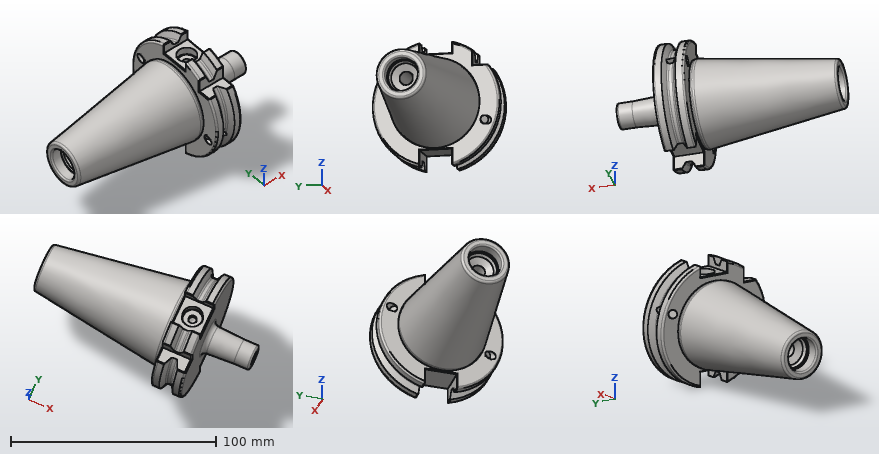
import cadquery as cq
import math


gauge_radius = 44.45 / 2
taper_slope = 7 / 48
taper_length = 68.4
taper_tail = 0.8
small_end_fillet = 1.25
collar_end_x = 1.85
neck_x = 2.5
neck_radius = 22.25
neck_root_radius = 22.0

flange_start_x = 3.2
flange_end_x = 19.1
flange_radius = 63.55 / 2
flange_fillet = 1.0

groove_x = 11.1
groove_width = 7.1
groove_floor_radius = 56.25 / 2
groove_half_angle = 30
groove_fillet = 1.0

nose_end_x = 44.0
nose_straight_x = 36.0
nose_tip_radius = 6.5
nose_base_radius = 7.4
nose_base_fillet = 2.8
nose_tip_fillet = 1.0

slot_width = 16.1
top_slot_floor = 25.0
bottom_slot_floor = 22.8
notch_offset = 18.5
slot_rim_chamfer = 0.45
notch_rim_chamfer = 0.25
taper_face_chamfer = 0.45
nose_face_chamfer = 0.7
cutter_reach = 40.0

counterbore_radius = 8.4
counterbore_depth = 6.0
bore_mouth_fillet = 0.85
shoulder_radius = 8.0
shoulder_depth = 7.3
bore_bottom_radius = 7.0
bore_bottom_depth = 9.1
drill_tip_angle = 118
through_radius = 3.35

pocket_radius = 5.15
pocket_depth = 4.6
pocket_floor_chamfer = 0.3
pilot_radius = 2.0
pilot_depth = 3.0

groove_hole_depth = 4.4
face_hole_depth = 1.8
coolant_radius = 2.1
coolant_tilt = 20
coolant_entry_radius = 26.8
coolant_slant = 40


def taper_radius(x):
    return gauge_radius + taper_slope * x


def drill_tip_length(radius_drop):
    return radius_drop / math.tan(math.radians(drill_tip_angle / 2))


def revolve_about_x(points):
    """Solid of revolution from an (x, radius) outline that starts and ends on the axis."""
    return cq.Workplane("XY").polyline(points).close().revolve(360, (0, 0, 0), (1, 0, 0))


def rim_fillet(body, x, radius, fillet):
    """Round the circular edge of the given radius that is centred on the axis at x."""

    def is_rim(edge):
        center = edge.Center()
        on_axis = math.hypot(center.y, center.z) < 0.01 and abs(center.x - x) < 0.01
        return edge.geomType() == "CIRCLE" and on_axis and abs(edge.radius() - radius) < 0.01

    rims = [edge for edge in body.edges().vals() if is_rim(edge)]
    return body.newObject(rims).fillet(fillet)


def make_body():
    groove_depth = flange_radius - groove_floor_radius
    mouth = groove_width / 2
    floor = mouth - groove_depth * math.tan(math.radians(groove_half_angle))
    body = revolve_about_x([
        (-taper_length, 0),
        (-taper_length, taper_radius(-taper_length)),
        (taper_tail, taper_radius(taper_tail)),
        (collar_end_x, taper_radius(taper_tail)),
        (neck_x, neck_radius),
        (flange_start_x, neck_root_radius),
        (flange_start_x, flange_radius),
        (groove_x - mouth, flange_radius),
        (groove_x - floor, groove_floor_radius),
        (groove_x + floor, groove_floor_radius),
        (groove_x + mouth, flange_radius),
        (flange_end_x, flange_radius),
        (flange_end_x, nose_base_radius),
        (nose_straight_x, nose_tip_radius),
        (nose_end_x, nose_tip_radius),
        (nose_end_x, 0),
    ])
    body = rim_fillet(body, -taper_length, taper_radius(-taper_length), small_end_fillet)
    for x in (flange_start_x, flange_end_x):
        body = rim_fillet(body, x, flange_radius, flange_fillet)
    for x in (groove_x - floor, groove_x + floor):
        body = rim_fillet(body, x, groove_floor_radius, groove_fillet)
    body = rim_fillet(body, flange_end_x, nose_base_radius, nose_base_fillet)
    return rim_fillet(body, nose_end_x, nose_tip_radius, nose_tip_fillet)


def chamfered_cutter(y_min, y_max, z_min):
    """Rectangular cut along X through the flange, open upward, with chamfers on both flange faces."""
    y_size = y_max - y_min
    y_mid = (y_min + y_max) / 2
    z_size = cutter_reach - z_min
    z_mid = (cutter_reach + z_min) / 2
    flange_width = flange_end_x - flange_start_x
    cutter = (
        cq.Workplane("YZ", origin=(flange_start_x, y_mid, z_mid))
        .rect(y_size, z_size)
        .extrude(flange_width)
    )
    for x, inward_step in ((flange_start_x, taper_face_chamfer), (flange_end_x, -nose_face_chamfer)):
        flare_growth = 2 * abs(inward_step)
        flare = (
            cq.Workplane("YZ", origin=(x, y_mid, z_mid))
            .rect(y_size + flare_growth, z_size + flare_growth)
            .workplane(offset=inward_step)
            .rect(y_size, z_size)
            .loft(ruled=True)
        )
        cutter = cutter.union(flare)
    return cutter


def rim_chamfer_cutter(wall, side, chamfer):
    """Wedge along X that breaks the edge between a wall at y = wall and the flange rim.

    The flange material lies on the +Y side of the wall for side = 1, on the -Y side for side = -1.
    """
    rim_y = wall + side * chamfer
    wall_rim_height = math.sqrt(flange_radius**2 - wall**2)
    return (
        cq.Workplane("YZ", origin=(flange_start_x, 0, 0))
        .moveTo(wall, wall_rim_height - chamfer)
        .lineTo(rim_y, math.sqrt(flange_radius**2 - rim_y**2))
        .lineTo(rim_y, cutter_reach)
        .lineTo(wall, cutter_reach)
        .close()
        .extrude(flange_end_x - flange_start_x)
    )


def make_slot(floor):
    """Drive slot on the +Z side with its floor at the given height."""
    half = slot_width / 2
    slot = chamfered_cutter(-half, half, floor)
    for side in (1, -1):
        slot = slot.union(rim_chamfer_cutter(side * half, side, slot_rim_chamfer))
    return slot


def make_notch():
    """Corner notch on the -Y, +Z side, equal about the diagonal of that quadrant."""
    upper_wedge = rim_chamfer_cutter(-notch_offset, 1, notch_rim_chamfer)
    side_wedge = rim_chamfer_cutter(notch_offset, -1, notch_rim_chamfer)
    side_wedge = side_wedge.rotate((0, 0, 0), (1, 0, 0), 90)
    notch = chamfered_cutter(-cutter_reach, -notch_offset, notch_offset)
    return notch.union(upper_wedge).union(side_wedge)


def make_bore():
    mouth_x = -taper_length
    bottom_x = mouth_x + bore_bottom_depth
    return revolve_about_x([
        (mouth_x, 0),
        (mouth_x, counterbore_radius),
        (mouth_x + counterbore_depth, counterbore_radius),
        (mouth_x + counterbore_depth, shoulder_radius),
        (mouth_x + shoulder_depth, shoulder_radius),
        (bottom_x, bore_bottom_radius),
        (bottom_x + drill_tip_length(bore_bottom_radius - through_radius), through_radius),
        (nose_end_x, through_radius),
        (nose_end_x, 0),
    ])


def make_chip_pocket():
    pocket_floor = top_slot_floor - pocket_depth
    pilot_floor = pocket_floor - pilot_depth
    return (
        cq.Workplane("XZ", origin=(groove_x, 0, 0))
        .moveTo(0, top_slot_floor)
        .lineTo(pocket_radius, top_slot_floor)
        .lineTo(pocket_radius, pocket_floor + pocket_floor_chamfer)
        .lineTo(pocket_radius - pocket_floor_chamfer, pocket_floor)
        .lineTo(pilot_radius, pocket_floor)
        .lineTo(pilot_radius, pilot_floor)
        .lineTo(0, pilot_floor - drill_tip_length(pilot_radius))
        .close()
        .revolve(360, (0, 0, 0), (0, 1, 0))
    )


def blind_hole(mouth, inward, depth):
    """Flat-bottomed hole whose cutter also reaches out past its mouth."""
    lead = 2 * coolant_radius
    return cq.Workplane(
        cq.Solid.makeCylinder(coolant_radius, depth + lead, mouth - inward * lead, inward)
    )


def make_coolant_holes():
    """Radial hole in the groove floor and slanted hole in the small-end face of the flange."""
    groove_mouth = cq.Vector(groove_x, groove_floor_radius, 0)
    radial = blind_hole(groove_mouth, cq.Vector(0, -1, 0), groove_hole_depth)
    slant = math.radians(coolant_slant)
    inward = cq.Vector(math.cos(slant), -math.sin(slant), 0)
    face_mouth = cq.Vector(flange_start_x, coolant_entry_radius, 0)
    slanted = blind_hole(face_mouth, inward, face_hole_depth)
    return radial.union(slanted)


result = make_body()
result = result.cut(make_slot(top_slot_floor))
result = result.cut(make_slot(bottom_slot_floor).rotate((0, 0, 0), (1, 0, 0), 180))
result = result.cut(make_notch())
result = result.cut(make_bore())
result = rim_fillet(result, -taper_length, counterbore_radius, bore_mouth_fillet)
result = result.cut(make_chip_pocket())
for turn in (coolant_tilt, coolant_tilt + 180):
    result = result.cut(make_coolant_holes().rotate((0, 0, 0), (1, 0, 0), turn))